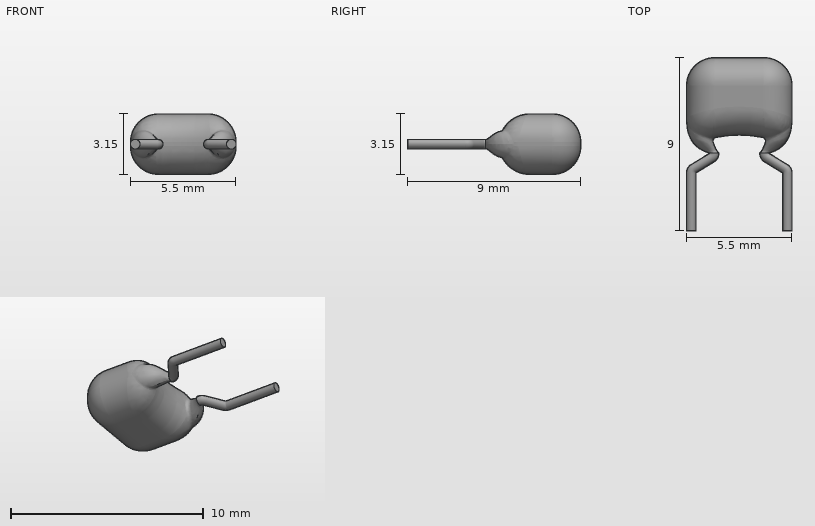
import cadquery as cq
import math

total_length = 9.0
body_width = 5.5
body_height = 3.15
edge_radius = 1.48
front_corner_radius = 1.0
front_middle_y = 4.97
front_arc_radius = 6.12

lead_diameter = 0.5
bend_radius = 0.27
bend_angle = math.radians(58.5)
neck_x = 1.305
neck_y = 4.03
neck_blend_radius = 0.18

neck_sections = [
    (4.33, 1.25, 2.15, 0.41),
    (4.73, 1.395, 2.5, 0.66),
    (5.13, 1.53, 2.66, 0.72),
    (5.67, 1.755, 2.73, 0.675),
]

half_height_limit = 0.81
flat_edge_limit = 0.09

lead_radius = lead_diameter / 2
half_width = body_width / 2
lead_x = half_width - lead_radius


def make_capsule():
    """Fully rounded block with a concave arc along its front."""
    arc_drop = front_arc_radius - math.sqrt(front_arc_radius**2 - half_width**2)
    corner_y = front_middle_y - arc_drop
    block = (
        cq.Workplane("XY")
        .workplane(offset=-body_height / 2)
        .moveTo(-half_width, corner_y)
        .threePointArc((0, front_middle_y), (half_width, corner_y))
        .lineTo(half_width, total_length)
        .lineTo(-half_width, total_length)
        .close()
        .extrude(body_height)
    )
    block = block.edges("|Z and <Y").fillet(front_corner_radius)
    block = block.edges("|Z and >Y").fillet(edge_radius)
    return block.faces("<Z or >Z").edges().fillet(edge_radius)


def section_wire(y, inner_x, outer_x, half_height):
    """Ellipse in a plane normal to Y."""
    plane = cq.Plane(origin=((inner_x + outer_x) / 2, y, 0), xDir=(1, 0, 0), normal=(0, 1, 0))
    return cq.Workplane(plane).ellipse((outer_x - inner_x) / 2, half_height).wires().val()


def make_neck():
    """Taper on the +X side, from the lead up into the front corner of the body."""
    tip = section_wire(neck_y, neck_x - lead_radius, neck_x + lead_radius, lead_radius)
    wires = [tip] + [section_wire(*section) for section in neck_sections]
    return cq.Workplane(cq.Solid.makeLoft(wires))


def is_neck_junction(edge):
    """True for the edges where a neck meets the capsule, all of them clear of both neck ends."""
    box = edge.BoundingBox()
    near_neck = box.ymin > neck_sections[0][0] and box.ymax < neck_sections[-1][0]
    on_one_side = box.xmin * box.xmax > 0
    within_neck_height = max(box.zmax, -box.zmin) < half_height_limit
    spans_height = box.zmax - box.zmin > flat_edge_limit
    return near_neck and on_one_side and within_neck_height and spans_height


def make_body():
    neck = make_neck()
    joined = make_capsule().union(neck).union(neck.mirror("YZ")).val()
    junction_edges = [edge for edge in joined.Edges() if is_neck_junction(edge)]
    return cq.Workplane(joined).newObject(junction_edges).fillet(neck_blend_radius)


def make_lead():
    """Round wire on the +X side, kinked outward by two opposite bends."""
    across = bend_radius * (1 - math.cos(bend_angle))
    along = bend_radius * math.sin(bend_angle)
    half_across = bend_radius * (1 - math.cos(bend_angle / 2))
    half_along = bend_radius * math.sin(bend_angle / 2)
    slope_run = lead_x - neck_x - 2 * across
    upper_end = (neck_x + across, neck_y - along)
    lower_start = (lead_x - across, upper_end[1] - slope_run / math.tan(bend_angle))
    lower_end_y = lower_start[1] - along
    path = (
        cq.Workplane("XY")
        .moveTo(neck_x, neck_y)
        .threePointArc((neck_x + half_across, neck_y - half_along), upper_end)
        .lineTo(*lower_start)
        .threePointArc((lead_x - half_across, lower_end_y + half_along), (lead_x, lower_end_y))
        .lineTo(lead_x, 0)
    )
    profile = cq.Workplane("XZ", origin=(neck_x, neck_y, 0)).circle(lead_radius)
    return profile.sweep(path)


body = make_body()
right_lead = make_lead()
leads = [right_lead, right_lead.mirror("YZ")]

result = cq.Compound.makeCompound([body.val(), *[lead.val() for lead in leads]])